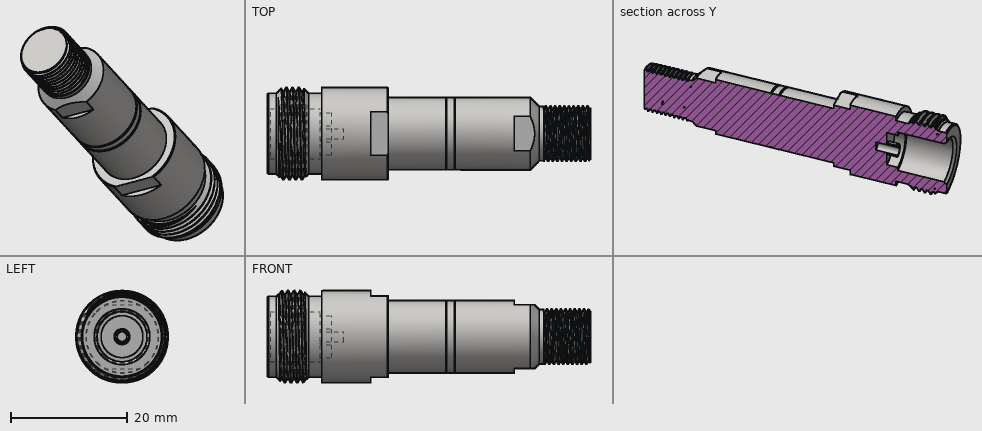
import math

import cadquery as cq

INCH = 25.4

overall_length = 55.5

large_thread_radius = 5 / 8 * INCH / 2
large_pitch = INCH / 24
sleeve_radius = 6.98
sleeve_edge_chamfer = 0.2
large_thread_start = 1.55
large_thread_end = 7.05
large_crest_at_top = 2.47

collar_start = 9.3
collar_end = 20.75
collar_radius = large_thread_radius
collar_edge_chamfer = 0.15
collar_flat_start = 17.75
collar_across_flats = 14.0

body_radius = 6.25
shoulder_start = 45.15
groove_positions = (30.7, 32.2)
groove_width = 0.2
groove_depth = 0.1
body_flat_start = 42.4
body_across_flats = 11.0

small_thread_radius = 3 / 8 * INCH / 2
small_pitch = INCH / 32
neck_radius = 4.7
shoulder_end = shoulder_start + body_radius - neck_radius
small_thread_start = 47.45
small_crest_at_top = 48.03
small_end_chamfer = 0.4

socket_mouth_radius = 4.8
socket_radius = 4.3
socket_depth = 9.0
inner_bore_radius = 3.6
inner_bore_depth = 11.0
contact_radius = 1.35
contact_hole_radius = 0.85
contact_hole_depth = 4.0
contact_edge_chamfer = 0.2

CREST_FLAT = 1 / 8
THREAD_DEPTH = 0.6134
ROOT_FLAT = 1 / 6
FLANK_STEPS = 6


def cylinder(start, end, radius):
    return cq.Workplane("YZ", origin=(start, 0, 0)).circle(radius).extrude(end - start)


def revolve_profile(points):
    """Turn an outline of (x, radius) points about the X axis."""
    axis_start, axis_end = (0, 0, 0), (1, 0, 0)
    return cq.Workplane("XY").polyline(points).close().revolve(360, axis_start, axis_end)


def screw(start, end, radius, pitch, crest_at_top):
    """Right-hand threaded rod along X whose crest passes the top at crest_at_top."""
    root_radius = radius - THREAD_DEPTH * pitch
    crest_half = math.pi * CREST_FLAT
    root_half = math.pi * ROOT_FLAT
    flank = math.pi - crest_half - root_half

    def polar(distance, angle):
        return distance * math.cos(angle), distance * math.sin(angle)

    def spiral(start_radius, end_radius, start_angle):
        steps = [step / FLANK_STEPS for step in range(FLANK_STEPS + 1)]
        return [
            polar(start_radius + t * (end_radius - start_radius), start_angle + t * flank)
            for t in steps
        ]

    falling_flank = spiral(radius, root_radius, crest_half)
    rising_flank = spiral(root_radius, radius, math.pi + root_half)

    section_plane = cq.Plane(origin=(start, 0, 0), xDir=(0, 0, 1), normal=(1, 0, 0))
    rod = (
        cq.Workplane(section_plane)
        .moveTo(*rising_flank[-1])
        .threePointArc((radius, 0), falling_flank[0])
        .spline(falling_flank[1:], includeCurrent=True)
        .threePointArc((-root_radius, 0), rising_flank[0])
        .spline(rising_flank[1:], includeCurrent=True)
        .close()
        .twistExtrude(end - start, 360 * (end - start) / pitch)
    )
    start_angle = 360 * (start - crest_at_top) / pitch
    return rod.rotate((0, 0, 0), (1, 0, 0), start_angle)


def large_thread():
    """Threaded length whose crests are bevelled at 45 degrees down to the sleeve at both ends."""
    start, end = large_thread_start, large_thread_end
    half_length = (end - start) / 2
    bevels = revolve_profile([
        (start, 0),
        (start, sleeve_radius),
        (start + half_length, sleeve_radius + half_length),
        (end, sleeve_radius),
        (end, 0),
    ])
    return bevels.intersect(screw(start, end, large_thread_radius, large_pitch, large_crest_at_top))


def small_thread():
    """Threaded length whose crests are bevelled at 45 degrees at the free end."""
    start, end = small_thread_start, overall_length
    end_radius = small_thread_radius - small_end_chamfer
    bevel = revolve_profile([
        (start, 0),
        (start, end_radius + end - start),
        (end, end_radius),
        (end, 0),
    ])
    return bevel.intersect(screw(start, end, small_thread_radius, small_pitch, small_crest_at_top))


def cut_flats(shape, start, end, across_flats, radius):
    """Mill parallel flats on the top and bottom between two X positions."""
    depth = radius - across_flats / 2
    for side in (1, -1):
        middle = ((start + end) / 2, 0, side * (across_flats + depth) / 2)
        shape = shape.cut(cq.Workplane("XY", origin=middle).box(end - start, 2 * radius, depth))
    return shape


def sleeves():
    """Plain lengths in front of and behind the large thread."""
    front = cylinder(0, large_thread_start, sleeve_radius).faces("<X").chamfer(sleeve_edge_chamfer)
    rear = cylinder(large_thread_end, collar_start, sleeve_radius)
    return front, rear


def collar():
    shape = cylinder(collar_start, collar_end, collar_radius).faces(">X").chamfer(collar_edge_chamfer)
    return cut_flats(shape, collar_flat_start, collar_end, collar_across_flats, collar_radius)


def slim_body():
    """Grooved body, 45 degree shoulder and neck up to the small thread."""
    shape = revolve_profile([
        (collar_end, 0),
        (collar_end, body_radius),
        (shoulder_start, body_radius),
        (shoulder_end, neck_radius),
        (small_thread_start, neck_radius),
        (small_thread_start, 0),
    ])
    for position in groove_positions:
        groove_start = position - groove_width / 2
        groove_end = position + groove_width / 2
        ring = cylinder(groove_start, groove_end, body_radius)
        core = cylinder(groove_start, groove_end, body_radius - groove_depth)
        shape = shape.cut(ring.cut(core))
    return cut_flats(shape, body_flat_start, shoulder_end, body_across_flats, body_radius)


def socket():
    """Space inside the large connector, leaving the hollow contact standing."""
    mouth_chamfer = socket_mouth_radius - socket_radius
    space = revolve_profile([
        (0, 0),
        (0, socket_mouth_radius),
        (mouth_chamfer, socket_radius),
        (socket_depth, socket_radius),
        (socket_depth, inner_bore_radius),
        (inner_bore_depth, inner_bore_radius),
        (inner_bore_depth, 0),
    ])
    contact = cylinder(socket_depth, inner_bore_depth, contact_radius)
    contact = contact.faces("<X").chamfer(contact_edge_chamfer)
    contact_hole = cylinder(socket_depth, socket_depth + contact_hole_depth, contact_hole_radius)
    return space.cut(contact).union(contact_hole)


front_sleeve, rear_sleeve = sleeves()
result = rear_sleeve
for section in (collar(), slim_body(), front_sleeve, large_thread(), small_thread()):
    result = result.union(section, clean=False)
result = result.cut(socket(), clean=False)